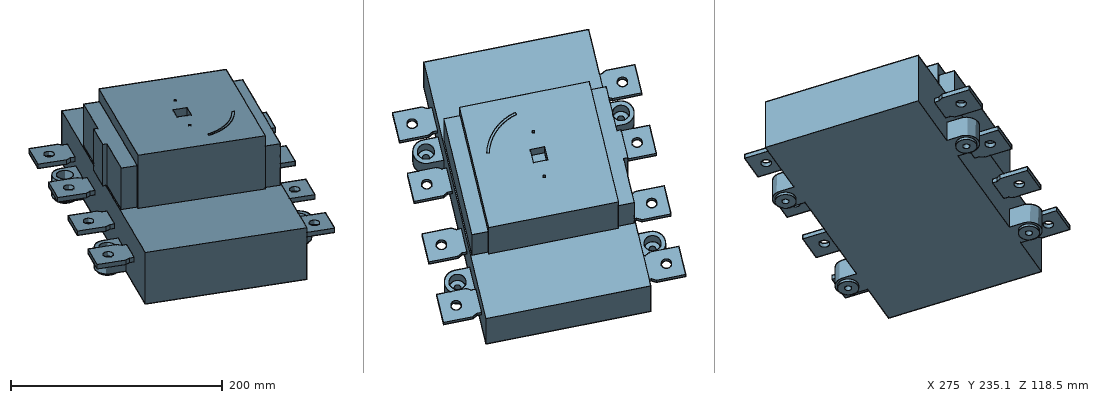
import cadquery as cq
import math

body_length = 275.0
body_width = 160.0
body_height = 57.0

block_center_x = -7.5
block_length = 129.0
block_width = 126.0
block_top = 115.5

cover_center_x = -7.7
cover_length = 124.3
cover_width = 157.5
cover_top = 102.5
tab_length = 30.0
tab_projection = 4.0

socket_side = 14.0
socket_depth = 13.8
pin_hole_center_x = -6.5
pin_hole_spacing = 47.8
pin_hole_diameter = 2.5
pin_hole_depth = 5.5
groove_radius = 48.5
groove_width = 2.5
groove_depth = 0.3
groove_start_angle = 14.5
groove_end_angle = 75.5

terminal_count = 4
terminal_row_center_x = -8.5
terminal_pitch = 65.0
terminal_length = 30.2
terminal_neck_length = 25.0
terminal_bottom = 26.0
terminal_thickness = 5.0
terminal_tip_y = 117.55
terminal_shoulder_y = 89.0
terminal_neck_y = 84.7
terminal_embed = 2.8
terminal_hole_y = 102.0
terminal_hole_diameter = 10.0

foot_center_x = -8.5
foot_spacing_x = 139.7
foot_axis_y = 94.5
foot_diameter = 25.0
foot_height = 22.5
foot_hole_diameter = 6.5
counterbore_diameter = 16.0
counterbore_depth = 13.8
pad_diameter = 20.0
pad_height = 3.0


def box_on(length, width, bottom, top, center_x=0.0, center_y=0.0):
    """Upright box between two levels."""
    return (
        cq.Workplane("XY", origin=(center_x, center_y, bottom))
        .rect(length, width)
        .extrude(top - bottom)
    )


def cylinder_on(diameter, bottom, top, center_x, center_y):
    """Upright cylinder between two levels."""
    return (
        cq.Workplane("XY", origin=(center_x, center_y, bottom))
        .circle(diameter / 2)
        .extrude(top - bottom)
    )


def make_housing():
    """Body with the cover, its front tab and the operating block on top."""
    body = box_on(body_length, body_width, 0, body_height)
    cover = box_on(cover_length, cover_width, body_height, cover_top, cover_center_x)
    tab_reach = cover_width / 2 + tab_projection
    tab = box_on(tab_length, tab_reach, body_height, cover_top, cover_center_x, -tab_reach / 2)
    block = box_on(block_length, block_width, body_height, block_top, block_center_x)
    return body.union(cover).union(tab).union(block)


def make_terminal(center_x, side):
    """Drilled blade with a narrowed neck; side is +1 or -1 along Y."""
    half = terminal_length / 2
    half_neck = terminal_neck_length / 2
    root_y = body_width / 2 - terminal_embed
    right_edge = [
        (half_neck, root_y),
        (half_neck, terminal_neck_y),
        (half, terminal_shoulder_y),
        (half, terminal_tip_y),
    ]
    left_edge = [(-x, y) for x, y in reversed(right_edge)]
    outline = [(center_x + x, side * y) for x, y in right_edge + left_edge]
    plane = cq.Workplane("XY", origin=(0, 0, terminal_bottom))
    blade = plane.polyline(outline).close().extrude(terminal_thickness)
    hole = cylinder_on(
        terminal_hole_diameter,
        terminal_bottom,
        terminal_bottom + terminal_thickness,
        center_x,
        side * terminal_hole_y,
    )
    return blade.cut(hole)


def make_foot(center_x, side):
    """Counterbored round-ended foot with a round pad below."""
    axis_y = side * foot_axis_y
    web = box_on(
        foot_diameter,
        foot_axis_y - body_width / 2,
        0,
        foot_height,
        center_x,
        side * (foot_axis_y + body_width / 2) / 2,
    )
    boss = cylinder_on(foot_diameter, 0, foot_height, center_x, axis_y)
    pad = cylinder_on(pad_diameter, -pad_height, 0, center_x, axis_y)
    hole = cylinder_on(foot_hole_diameter, -pad_height, foot_height, center_x, axis_y)
    counterbore = cylinder_on(
        counterbore_diameter, foot_height - counterbore_depth, foot_height, center_x, axis_y
    )
    return web.union(boss).union(pad).cut(hole).cut(counterbore)


def make_groove():
    """Quarter-turn marking groove, concentric with the socket."""
    inner = groove_radius - groove_width / 2
    outer = groove_radius + groove_width / 2
    middle_angle = (groove_start_angle + groove_end_angle) / 2

    def polar(radius, angle):
        turn = math.radians(angle)
        return (radius * math.cos(turn), radius * math.sin(turn))

    return (
        cq.Workplane("XY", origin=(block_center_x, 0, block_top))
        .moveTo(*polar(inner, groove_start_angle))
        .lineTo(*polar(outer, groove_start_angle))
        .threePointArc(polar(outer, middle_angle), polar(outer, groove_end_angle))
        .lineTo(*polar(inner, groove_end_angle))
        .threePointArc(polar(inner, middle_angle), polar(inner, groove_start_angle))
        .close()
        .extrude(-groove_depth)
    )


result = make_housing()

for side in (-1, 1):
    for index in range(terminal_count):
        offset = (index - (terminal_count - 1) / 2) * terminal_pitch
        result = result.union(make_terminal(terminal_row_center_x + offset, side))
    for end in (-1, 1):
        result = result.union(make_foot(foot_center_x + end * foot_spacing_x / 2, side))

result = result.cut(
    box_on(socket_side, socket_side, block_top - socket_depth, block_top, block_center_x)
)
for end in (-1, 1):
    pin_x = pin_hole_center_x + end * pin_hole_spacing / 2
    result = result.cut(
        cylinder_on(pin_hole_diameter, block_top - pin_hole_depth, block_top, pin_x, 0)
    )
result = result.cut(make_groove())